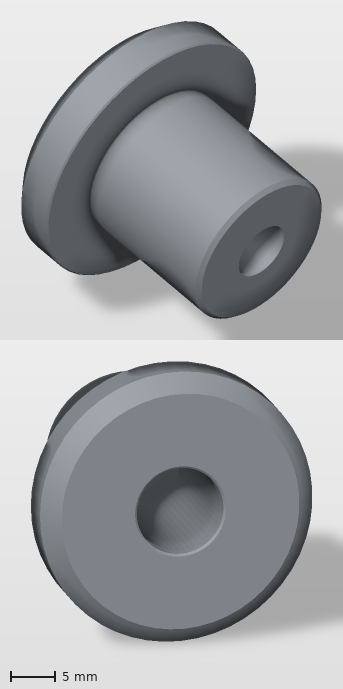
import cadquery as cq

total_length = 25.02
flange_diameter = 31.75
flange_thickness = 6.4
front_chamfer = 2.03
rear_chamfer = 0.2
shank_diameter = 19.05
shank_chamfer = 0.5
neck_diameter = 18.8
neck_width = 0.2
bore_diameter = 10.1
bore_chamfer = 0.25
hole_diameter = 6.85
floor_thickness = 5.02


def cylinder(start, length, diameter):
    """Solid cylinder along +X, starting at the given X."""
    return cq.Workplane("YZ", origin=(start, 0, 0)).circle(diameter / 2).extrude(length)


flange = cylinder(0, flange_thickness, flange_diameter)
flange = flange.faces("<X").chamfer(front_chamfer)
flange = flange.faces(">X").chamfer(rear_chamfer)

neck = cylinder(flange_thickness, neck_width, neck_diameter)
shank_start = flange_thickness + neck_width
shank = cylinder(shank_start, total_length - shank_start, shank_diameter)
shank = shank.faces(">X").chamfer(shank_chamfer)

body = flange.union(neck).union(shank)

bore = cylinder(0, total_length - floor_thickness, bore_diameter)
hole = cylinder(0, total_length, hole_diameter)
mouth_diameter = bore_diameter + 2 * bore_chamfer
mouth = cq.Workplane("YZ").circle(mouth_diameter / 2).workplane(offset=bore_chamfer)
mouth = mouth.circle(bore_diameter / 2).loft(ruled=True)

result = body.cut(bore).cut(hole).cut(mouth)